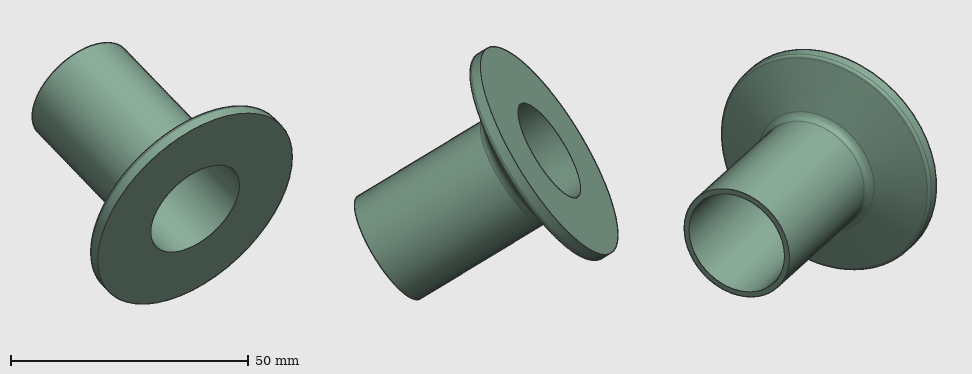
import cadquery as cq
import math

overall_length = 41.3
bore_diameter = 23.0
tube_diameter = 25.4
flange_diameter = 50.5
cone_angle = 20.0
rim_thickness = 2.85
neck_fillet = 2.0
rim_fillet = 0.8

bore_radius = bore_diameter / 2
tube_radius = tube_diameter / 2
flange_radius = flange_diameter / 2

cone_outer_x = overall_length - rim_thickness
cone_length = (flange_radius - tube_radius) * math.tan(math.radians(cone_angle))
cone_inner_x = cone_outer_x - cone_length


def circle_edge_at(x, radius):
    """Select the circular edge around the X axis at the given place."""
    margin = 0.01
    reach = radius + margin
    return cq.selectors.BoxSelector(
        (x - margin, -reach, -reach), (x + margin, reach, reach), boundingbox=True
    )


def make_ferrule():
    """Revolve the sharp-cornered half section around the X axis."""
    return (
        cq.Workplane("XY")
        .moveTo(0, bore_radius)
        .lineTo(0, tube_radius)
        .lineTo(cone_inner_x, tube_radius)
        .lineTo(cone_outer_x, flange_radius)
        .lineTo(overall_length, flange_radius)
        .lineTo(overall_length, bore_radius)
        .close()
        .revolve(360, (0, 0, 0), (1, 0, 0))
    )


ferrule = make_ferrule()
ferrule = ferrule.edges(circle_edge_at(cone_inner_x, tube_radius)).fillet(neck_fillet)
result = ferrule.edges(circle_edge_at(cone_outer_x, flange_radius)).fillet(rim_fillet)